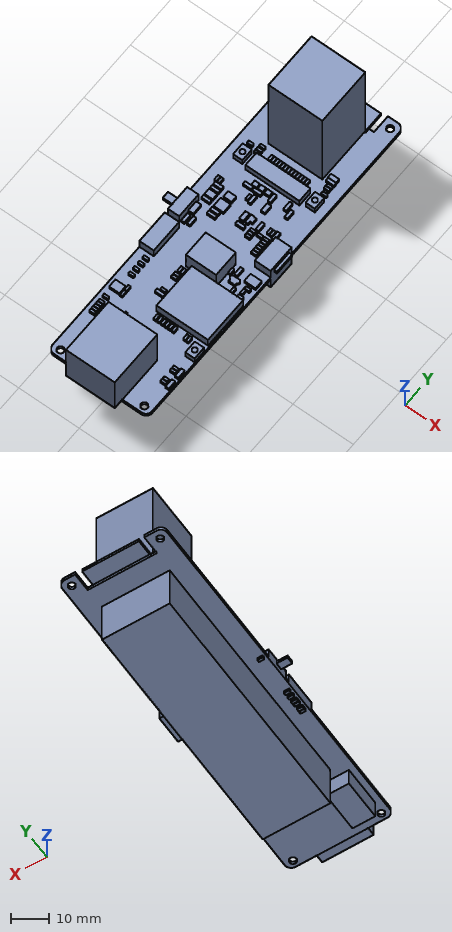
import cadquery as cq


PLAN_LENGTH = 113.7
PLAN_WIDTH = 37.4
BOARD_WIDTH = 33.0
BOARD_LENGTH = 110.4
BOARD_THICKNESS = 1.1
BOARD_CORNER_RADIUS = 2.0
BOARD_LEFT = -15.2

BOARD_RIGHT = BOARD_LEFT + BOARD_WIDTH
BOARD_BACK = PLAN_LENGTH / 2
BOARD_FRONT = BOARD_BACK - BOARD_LENGTH
UNDERSIDE = -BOARD_THICKNESS

NOTCH_LEFT, NOTCH_RIGHT = -9.3, 12.4
NOTCH_DEPTH = 6.0
MOUNT_HOLE_DIAMETER = 2.2
MOUNT_HOLE_INSET_X = 2.6
MOUNT_HOLE_INSET_BACK = 2.6
MOUNT_HOLE_INSET_FRONT = 2.0

TALL_LEFT, TALL_RIGHT = -7.0, 10.8
TALL_FRONT, TALL_BACK = 30.7, 49.2
TALL_TOP = 32.0
LIP_BACK = 55.9
LIP_HEIGHT = 1.0

BATTERY_DEPTH = 15.0

SMALL_CHIP = (1.7, 0.8)
LONG_CHIP = (2.7, 1.0)
WIDE_CHIP = (2.7, 1.4)
CHIP_HEIGHT = 0.9
CHIP_PITCH = 1.0
WIDE_PITCH = 1.2 * CHIP_PITCH

EDGE_PART_HEIGHT = 3.1
USB_HEIGHT = 3.4
OVERHANG_BOTTOM, OVERHANG_TOP = 1.0, 2.0

BUTTON_WIDTH, BUTTON_LENGTH = 3.1, 4.1
BUTTON_HEIGHT = 2.0
BUTTON_CAP_DIAMETER = 1.6
BUTTON_CAP_RISE = 0.1

LAMP_LENGTH = 2.7


def block(left, right, front, back, bottom, top):
    """Box given by its six sides."""
    return (
        cq.Workplane("XY")
        .box(right - left, back - front, top - bottom, centered=False)
        .translate((left, front, bottom))
    )


def on_top(left, right, front, back, height):
    """Box standing on the board's top face."""
    return block(left, right, front, back, 0, height)


def below(left, right, front, back, depth):
    """Box hanging from the board's underside."""
    return block(left, right, front, back, UNDERSIDE - depth, UNDERSIDE)


def chip_along_x(size, x, y):
    """Chip on the top face with its long side along X, centred at (x, y)."""
    length, width = size
    return on_top(x - length / 2, x + length / 2, y - width / 2, y + width / 2, CHIP_HEIGHT)


def chip_along_y(size, x, y):
    """Chip on the top face with its long side along Y, centred at (x, y)."""
    length, width = size
    return chip_along_x((width, length), x, y)


def column(x, first_y, count, pitch=CHIP_PITCH):
    """Centres of equally spaced chips, running toward -Y."""
    return [(x, first_y - i * pitch) for i in range(count)]


def row(first_x, y, count, pitch=CHIP_PITCH):
    """Centres of equally spaced chips, running toward +X."""
    return [(first_x + i * pitch, y) for i in range(count)]


def bare_board():
    board = block(BOARD_LEFT, BOARD_RIGHT, BOARD_FRONT, BOARD_BACK, UNDERSIDE, 0)
    board = board.edges("|Z").fillet(BOARD_CORNER_RADIUS)
    notch = block(NOTCH_LEFT, NOTCH_RIGHT, BOARD_BACK - NOTCH_DEPTH, BOARD_BACK, UNDERSIDE, 0)
    hole_centers = [
        (x, y)
        for x in (BOARD_LEFT + MOUNT_HOLE_INSET_X, BOARD_RIGHT - MOUNT_HOLE_INSET_X)
        for y in (BOARD_FRONT + MOUNT_HOLE_INSET_FRONT, BOARD_BACK - MOUNT_HOLE_INSET_BACK)
    ]
    holes = (
        cq.Workplane("XY", origin=(0, 0, UNDERSIDE))
        .pushPoints(hole_centers)
        .circle(MOUNT_HOLE_DIAMETER / 2)
        .extrude(BOARD_THICKNESS)
    )
    return board.cut(notch).cut(holes)


def top_parts():
    return [
        on_top(TALL_LEFT, TALL_RIGHT, TALL_BACK, LIP_BACK, LIP_HEIGHT),
        on_top(-6.7, 9.4, -PLAN_LENGTH / 2, -38.5, 13.6),
        on_top(-7.4, 10.5, 21.3, 26.0, 2.4),
        on_top(-1.9, 8.1, -11.5, -3.0, 6.1),
        on_top(0.2, 17.3, -26.9, -11.8, EDGE_PART_HEIGHT),
        on_top(BOARD_LEFT, -10.5, -14.2, -3.3, EDGE_PART_HEIGHT),
        on_top(BOARD_LEFT, -11.5, -1.9, 6.4, EDGE_PART_HEIGHT),
    ]


def usb_socket():
    body = on_top(12.5, BOARD_RIGHT, -0.6, 8.4, USB_HEIGHT)
    mouth = block(BOARD_RIGHT, PLAN_WIDTH / 2, 0.9, 7.4, OVERHANG_BOTTOM, OVERHANG_TOP)
    return [body, mouth]


def push_button(x, y):
    half_width = BUTTON_WIDTH / 2
    half_length = BUTTON_LENGTH / 2
    body = on_top(x - half_width, x + half_width, y - half_length, y + half_length, BUTTON_HEIGHT)
    cap = (
        cq.Workplane("XY", origin=(x, y, BUTTON_HEIGHT))
        .circle(BUTTON_CAP_DIAMETER / 2)
        .extrude(BUTTON_CAP_RISE)
    )
    return [body, cap]


def push_buttons():
    parts = []
    for x, y in [(-10.6, 24.1), (13.4, 24.1), (16.0, -31.0)]:
        parts += push_button(x, y)
    return parts


def flat_circuits():
    """Low rectangular circuits as tall as the chips."""
    outlines = [
        (-7.0, -3.8, 7.0, 10.1),
        (-11.5, -9.8, 1.9, 5.3),
        (13.2, 16.9, -6.0, -3.3),
        (-13.9, -10.5, -29.0, -26.3),
        (-2.8, -1.9, -10.2, -9.1),
        (9.9, 12.0, -8.5, -7.7),
    ]
    circuits = [on_top(*outline, CHIP_HEIGHT) for outline in outlines]
    corner_cut = 0.3
    transistor = on_top(9.4, 12.5, -7.7, -6.5, CHIP_HEIGHT).edges("|Z").chamfer(corner_cut)
    return circuits + [transistor]


def indicator_lamps():
    """Two lamps at the right edge, each with a pair of chips beside it."""
    parts = []
    for y in (-38.4, -42.5):
        parts.append(on_top(16.3, 17.4, y - LAMP_LENGTH / 2, y + LAMP_LENGTH / 2, CHIP_HEIGHT))
        chip_centers = column(15.0, y + CHIP_PITCH / 2, 2)
        parts += [chip_along_x(SMALL_CHIP, chip_x, chip_y) for chip_x, chip_y in chip_centers]
    return parts


def small_chips():
    lying = (
        column(-10.1, 46.9, 3)
        + column(13.4, 30.3, 2)
        + [(-10.9, 28.0), (13.9, 27.6), (-7.8, 29.1)]
        + column(-7.8, 27.8, 2)
        + [(x, y) for x in (-2.3, -0.2, 1.9) for y in (19.3, 18.6)]
        + column(5.7, 7.4, 3)
        + [(8.1, 7.4)]
        + column(10.1, 7.4, 6)
        + [(15.3, -7.4), (15.3, -10.5)]
        + column(-2.0, -15.2, 2)
        + [(-1.9, -21.0)]
        + column(-11.5, -16.3, 4, pitch=2.0)
        + [(-12.7, -31.8)]
        + column(-12.7, -33.8, 5, pitch=0.94)
        + column(-8.2, -39.5, 6, pitch=1.0)
    )
    upright = (
        row(-4.0, 27.7, 13)
        + row(-11.4, 14.3, 2)
        + [(-1.4, 14.8), (3.9, 10.0)]
        + row(9.3, 10.0, 2)
        + [(-2.5, -7.2), (8.6, -5.7), (12.5, -10.0), (14.9, -8.8)]
        + row(-2.3, -13.4, 2)
        + [(-9.8, -26.4), (-9.8, -28.3)]
        + row(1.6, -28.6, 6, pitch=WIDE_PITCH)
        + row(11.5, -28.8, 2)
        + [(-5.5, -33.2)]
        + row(-7.7, -35.6, 4, pitch=1.0)
    )
    return [chip_along_x(SMALL_CHIP, x, y) for x, y in lying] + [
        chip_along_y(SMALL_CHIP, x, y) for x, y in upright
    ]


def long_chips():
    lying = [
        (-10.3, 47.9),
        (13.0, 31.6),
        (-3.6, 17.5),
        (-0.6, 17.5),
        (-9.8, 12.7),
        (-9.8, 11.4),
        (-9.8, 10.0),
        (-9.8, 9.0),
        (-9.8, 7.6),
        (-5.3, 12.4),
        (-5.3, 11.4),
        (-5.8, 6.1),
        (-5.8, 4.8),
        (2.0, 6.8),
        (-2.2, -22.3),
    ]
    upright = [
        (3.8, 18.3),
        (8.5, 18.9),
        (10.2, 17.2),
        (-0.2, 14.9),
        (3.0, 9.7),
        (6.5, 9.5),
        (11.5, 9.8),
        (-10.6, -0.2),
        (-8.9, 0.0),
        (10.3, -4.7),
    ]
    return [chip_along_x(LONG_CHIP, x, y) for x, y in lying] + [
        chip_along_y(LONG_CHIP, x, y) for x, y in upright
    ]


def wide_chips():
    upright = [(4.3, 14.9), (1.3, 9.5)]
    return [chip_along_x(WIDE_CHIP, 12.8, 32.8)] + [chip_along_y(WIDE_CHIP, x, y) for x, y in upright]


def underside_parts():
    power_socket = below(-13.2, -6.0, -47.7, -35.1, 6.1)
    side_connector = below(14.2, BOARD_RIGHT, -0.6, 8.4, 4.1)
    battery_holder = below(-9.1, 12.2, -32.5, 44.3, BATTERY_DEPTH)
    return [power_socket, side_connector, battery_holder]


def underside_button():
    left, right, front, back = 11.1, 15.2, -36.4, -33.2
    body_depth = 1.7
    cap_diameter = 2.0
    cap_depth = 0.3
    cap = (
        cq.Workplane("XY", origin=((left + right) / 2, (front + back) / 2, UNDERSIDE - body_depth))
        .circle(cap_diameter / 2)
        .extrude(-cap_depth)
    )
    return [below(left, right, front, back, body_depth), cap]


def underside_chips():
    x = -13.6
    length, width = SMALL_CHIP
    return [
        below(x - length / 2, x + length / 2, y - width / 2, y + width / 2, CHIP_HEIGHT)
        for y in (7.7, -5.0, -6.7, -8.4, -9.4, -11.3, -12.2)
    ]


def populated_board():
    parts = (
        top_parts()
        + usb_socket()
        + push_buttons()
        + flat_circuits()
        + indicator_lamps()
        + small_chips()
        + long_chips()
        + wide_chips()
        + underside_parts()
        + underside_button()
        + underside_chips()
    )
    return bare_board().val().fuse(*[part.val() for part in parts])


def tall_module():
    return block(TALL_LEFT, TALL_RIGHT, TALL_FRONT, TALL_BACK, LIP_HEIGHT, TALL_TOP).val()


def switch_lever():
    """Slider that meets the outer face of the switch housing and reaches past the board."""
    return block(-PLAN_WIDTH / 2, BOARD_LEFT, 0.3, 2.6, OVERHANG_BOTTOM, OVERHANG_TOP).val()


result = cq.Compound.makeCompound([*populated_board().Solids(), tall_module(), switch_lever()])